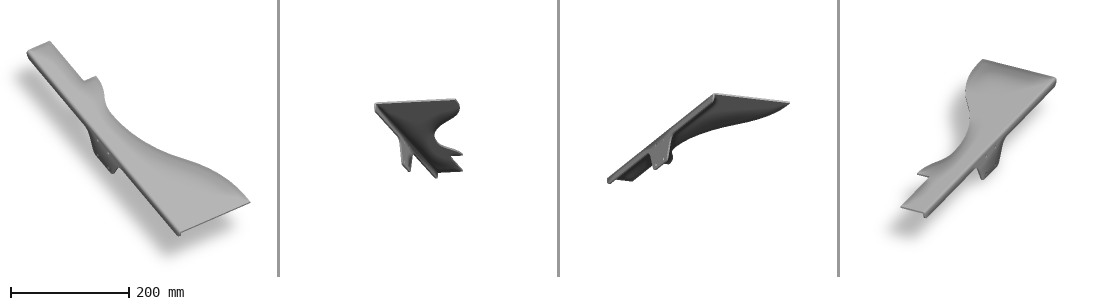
import cadquery as cq
import math

LENGTH = 500.0
DEPTH = 140.0
HEIGHT = 55.0
THICKNESS = 3.0
BEND_INNER_RADIUS = 1.5
BEND_OUTER_RADIUS = BEND_INNER_RADIUS + THICKNESS

STRIP_DEPTH = 46.0
STEP_X = 111.0
STEP_DEPTH = 70.0
VALLEY_X = 203.0
CREST_X = 483.0
STEP_ARC_RADIUS = 100.0
VALLEY_ARC_RADIUS = 258.0

FLANGE_HEIGHT = 15.0
FLANGE_CORNER_RADIUS = 9.5
TAB_CENTER_X = LENGTH / 2
TAB_TOP_WIDTH = 100.0
TAB_BOTTOM_WIDTH = 60.0
TAB_ROOT_RADIUS = 20.0
TAB_CORNER_RADIUS = 10.0

HOLE_DIAMETER = 6.5
HOLE_SPACING = 35.0
HOLE_BOTTOM_MARGIN = 7.5


def add_s_curve(outline, start, end, first_radius):
    """Add two tangent arcs that are parallel to X at both ends."""
    run = end[0] - start[0]
    rise = end[1] - start[1]
    direction = math.copysign(1, rise)
    radius_sum = (run**2 + rise**2) / (2 * abs(rise))
    second_radius = radius_sum - first_radius
    sweep = math.asin(run / radius_sum)

    def arc_offset(radius, angle):
        return radius * math.sin(angle), direction * radius * (1 - math.cos(angle))

    half_x, half_y = arc_offset(first_radius, sweep / 2)
    join_x, join_y = arc_offset(first_radius, sweep)
    back_x, back_y = arc_offset(second_radius, sweep / 2)
    join = (start[0] + join_x, start[1] + join_y)
    outline = outline.threePointArc((start[0] + half_x, start[1] + half_y), join)
    return outline.threePointArc((end[0] - back_x, end[1] - back_y), end)


def make_bent_sheet():
    """L-shaped sheet with a rounded bend, at full depth and height."""
    sheet = (
        cq.Workplane("YZ")
        .polyline([
            (0, -HEIGHT),
            (0, 0),
            (DEPTH, 0),
            (DEPTH, -THICKNESS),
            (THICKNESS, -THICKNESS),
            (THICKNESS, -HEIGHT),
        ])
        .close()
        .extrude(LENGTH)
    )
    outer_edge = cq.selectors.NearestToPointSelector((LENGTH / 2, 0, 0))
    sheet = sheet.edges(outer_edge).fillet(BEND_OUTER_RADIUS)
    inner_edge = cq.selectors.NearestToPointSelector((LENGTH / 2, THICKNESS, -THICKNESS))
    return sheet.edges(inner_edge).fillet(BEND_INNER_RADIUS)


def make_shelf_outline():
    """Plan outline of the shelf, as a block through the full height."""
    outline = (
        cq.Workplane("XY")
        .moveTo(0, 0)
        .lineTo(0, STRIP_DEPTH)
        .lineTo(STEP_X, STRIP_DEPTH)
        .lineTo(STEP_X, STEP_DEPTH)
    )
    valley = (VALLEY_X, STRIP_DEPTH)
    outline = add_s_curve(outline, (STEP_X, STEP_DEPTH), valley, STEP_ARC_RADIUS)
    outline = add_s_curve(outline, valley, (CREST_X, DEPTH), VALLEY_ARC_RADIUS)
    return outline.lineTo(LENGTH, DEPTH).lineTo(LENGTH, 0).close().extrude(-HEIGHT)


def make_flange_outline():
    """Front outline of the flange and tab, as a block through the full depth."""
    def round_corners(block, half_width, z, radius):
        for side in (-1, 1):
            corner = (TAB_CENTER_X + side * half_width, DEPTH / 2, z)
            block = block.edges(cq.selectors.NearestToPointSelector(corner)).fillet(radius)
        return block

    half_top = TAB_TOP_WIDTH / 2
    half_bottom = TAB_BOTTOM_WIDTH / 2
    block = (
        cq.Workplane("XZ")
        .polyline([
            (0, 0),
            (0, -FLANGE_HEIGHT),
            (TAB_CENTER_X - half_top, -FLANGE_HEIGHT),
            (TAB_CENTER_X - half_bottom, -HEIGHT),
            (TAB_CENTER_X + half_bottom, -HEIGHT),
            (TAB_CENTER_X + half_top, -FLANGE_HEIGHT),
            (LENGTH, -FLANGE_HEIGHT),
            (LENGTH, 0),
        ])
        .close()
        .extrude(-DEPTH)
    )
    block = round_corners(block, LENGTH / 2, -FLANGE_HEIGHT, FLANGE_CORNER_RADIUS)
    block = round_corners(block, half_top, -FLANGE_HEIGHT, TAB_ROOT_RADIUS)
    return round_corners(block, half_bottom, -HEIGHT, TAB_CORNER_RADIUS)


def make_hole_pins():
    """Cylinders that pierce the tab at the four mounting holes."""
    pattern_center_z = -HEIGHT + HOLE_BOTTOM_MARGIN + HOLE_SPACING / 2
    return (
        cq.Workplane("XZ", origin=(TAB_CENTER_X, 0, pattern_center_z))
        .rarray(HOLE_SPACING, HOLE_SPACING, 2, 2)
        .circle(HOLE_DIAMETER / 2)
        .extrude(-THICKNESS)
    )


result = (
    make_bent_sheet()
    .intersect(make_shelf_outline())
    .intersect(make_flange_outline())
    .cut(make_hole_pins())
)